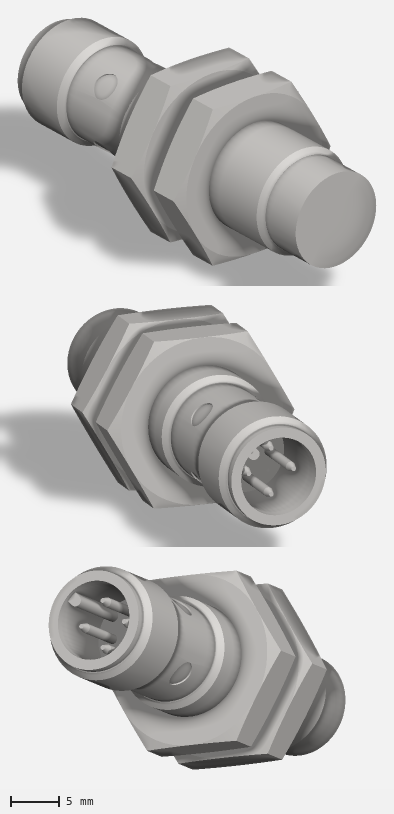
import cadquery as cq
import math

TOTAL_LENGTH = 45.95
COLLAR_START = 1.0
COLLAR_END = 8.05
THREAD_START = 17.05
THREAD_END = 41.0

THREAD_DIAMETER = 12.0
NECK_DIAMETER = 10.5
SENSOR_DIAMETER = 10.65
SHOULDER_CHAMFER = 0.65

SOCKET_DIAMETER = 8.3
SOCKET_DEPTH = 9.0
KEY_START = 0.7
KEY_WIDTH = 1.2
KEY_CENTER_RADIUS = 3.45
KEY_ANGLE = 45.0

PIN_COUNT = 4
PIN_DIAMETER = 1.0
PIN_TIP_DIAMETER = 0.5
PIN_CONE_LENGTH = 0.9
PIN_START = 2.0
PIN_CIRCLE_RADIUS = 2.5

WINDOW_COUNT = 4
WINDOW_DIAMETER = 3.0
WINDOW_FLOOR_DIAMETER = 10.1
WINDOW_X = 12.5

NUT_ACROSS_CORNERS = 20.8
NUT_THICKNESS = 4.0
NUT_CHAMFER_ANGLE = 15.0
FIRST_NUT_X = 21.5
NUT_PITCH = 7.0
NUT_POSITIONS = [FIRST_NUT_X, FIRST_NUT_X + NUT_PITCH]


def x_cylinder(diameter, start, end):
    """Round bar along X between two stations."""
    return cq.Workplane("YZ", origin=(start, 0, 0)).circle(diameter / 2).extrude(end - start)


def chamfered_section(start, end):
    """Full-diameter section with both end edges chamfered."""
    return x_cylinder(THREAD_DIAMETER, start, end).faces("<X or >X").chamfer(SHOULDER_CHAMFER)


def make_key():
    """Rib with a rounded crest, running along the socket wall to its floor."""
    wall_radius = (SOCKET_DIAMETER + NECK_DIAMETER) / 4
    web_length = wall_radius - KEY_CENTER_RADIUS
    length = SOCKET_DEPTH - KEY_START
    plane = cq.Workplane("YZ", origin=(KEY_START, 0, 0))
    crest = plane.center(KEY_CENTER_RADIUS, 0).circle(KEY_WIDTH / 2).extrude(length)
    web = (
        plane.center(KEY_CENTER_RADIUS + web_length / 2, 0)
        .rect(web_length, KEY_WIDTH)
        .extrude(length)
    )
    return crest.union(web).rotate((0, 0, 0), (1, 0, 0), KEY_ANGLE)


def make_pin(angle):
    """Contact pin with a conical tip, rooted in the socket floor."""
    radius = PIN_DIAMETER / 2
    tip_radius = PIN_TIP_DIAMETER / 2
    cone_end = PIN_START + PIN_CONE_LENGTH
    profile = [
        (PIN_START, 0),
        (PIN_START, tip_radius),
        (cone_end, radius),
        (SOCKET_DEPTH, radius),
        (SOCKET_DEPTH, 0),
    ]
    pin = cq.Workplane("XY").polyline(profile).close().revolve(360, (0, 0, 0), (1, 0, 0))
    return pin.translate((0, PIN_CIRCLE_RADIUS, 0)).rotate((0, 0, 0), (1, 0, 0), angle)


def make_window_cutter(angle):
    """Radial plug that stops at the cylindrical window floor."""
    plug = cq.Workplane("XY", origin=(WINDOW_X, 0, 0)).circle(WINDOW_DIAMETER / 2).extrude(THREAD_DIAMETER / 2)
    floor = x_cylinder(WINDOW_FLOOR_DIAMETER, WINDOW_X - WINDOW_DIAMETER, WINDOW_X + WINDOW_DIAMETER)
    return plug.cut(floor).rotate((0, 0, 0), (1, 0, 0), angle)


def make_housing():
    """Sensor housing: connector collar, neck, threaded barrel and sensing head."""
    body = x_cylinder(NECK_DIAMETER, 0, THREAD_START)
    body = body.union(chamfered_section(COLLAR_START, COLLAR_END))
    body = body.union(chamfered_section(THREAD_START, THREAD_END))
    body = body.union(x_cylinder(SENSOR_DIAMETER, THREAD_END, TOTAL_LENGTH))
    body = body.cut(x_cylinder(SOCKET_DIAMETER, 0, SOCKET_DEPTH))
    body = body.union(make_key())
    for index in range(PIN_COUNT):
        body = body.union(make_pin(index * 360 / PIN_COUNT))
    for index in range(WINDOW_COUNT):
        body = body.cut(make_window_cutter((index + 0.5) * 360 / WINDOW_COUNT))
    return body


def make_nut(start):
    """Hexagonal nut with flats facing up and down and conically chamfered corners."""
    corner_radius = NUT_ACROSS_CORNERS / 2
    face_radius = corner_radius * math.cos(math.radians(30))
    chamfer_depth = (corner_radius - face_radius) * math.tan(math.radians(NUT_CHAMFER_ANGLE))
    end = start + NUT_THICKNESS
    hexagon = cq.Workplane("YZ", origin=(start, 0, 0)).polygon(6, 2 * corner_radius).extrude(NUT_THICKNESS)
    envelope_profile = [
        (start, 0),
        (start, face_radius),
        (start + chamfer_depth, corner_radius),
        (end - chamfer_depth, corner_radius),
        (end, face_radius),
        (end, 0),
    ]
    envelope = cq.Workplane("XY").polyline(envelope_profile).close().revolve(360, (0, 0, 0), (1, 0, 0))
    return hexagon.intersect(envelope).cut(x_cylinder(THREAD_DIAMETER, start, end))


housing = make_housing()
nuts = [make_nut(start) for start in NUT_POSITIONS]

result = cq.Compound.makeCompound([housing.val(), *[nut.val() for nut in nuts]])